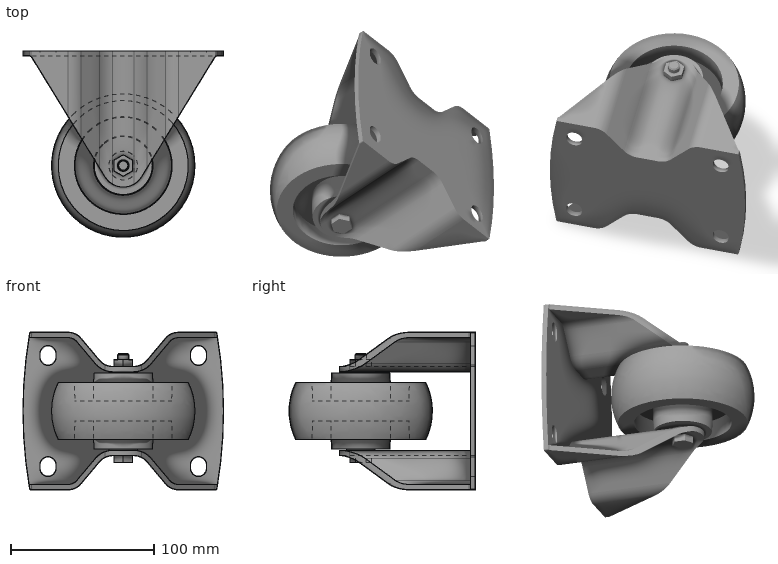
import cadquery as cq
import math


plate_width = 140.0
plate_height = 110.0
plate_thickness = 3.5
plate_back = 80.0
plate_end_width = 130.4
plate_corner_radius = 1.0
slot_width = 11.0
slot_pitch_x = 105.0
slot_pitch_z_min = 75.0
slot_pitch_z_max = 80.0

leg_thickness = 3.75
leg_inner = 27.4
bend_angle = math.radians(50)
bend_radius = 12.0
waist_flat_half = 7.4
nose_radius = 15.0
leg_slant = math.radians(31.5)
leg_root_fillet = 2.0

wheel_diameter = 100.0
wheel_width = 40.0
tread_radius = 45.0
recess_rim_diameter = 68.2
recess_floor_diameter = 67.5
recess_depth = 13.0
hub_diameter = 41.5
hub_end_diameter = 40.5
hub_end = 26.6
spacer_diameter = 20.0

bolt_diameter = 8.0
bolt_end = 40.0
bolt_chamfer = 0.8
hex_across_flats = 13.0
hex_height = 4.8

plate_front = plate_back - plate_thickness
plate_top = plate_height / 2
leg_outer = leg_inner + leg_thickness


def waist_stations(inset):
    """Bent leg surface in the XZ half plane x > 0, from the flat top to the waist.

    inset is how far the surface lies below the outer face of the leg.
    """
    convex = bend_radius - inset
    concave = bend_radius + inset
    straight_drop = plate_top - leg_outer - 2 * bend_radius * (1 - math.cos(bend_angle))
    bend_run = 2 * bend_radius * math.sin(bend_angle)
    shoulder_x = waist_flat_half + bend_run + straight_drop / math.tan(bend_angle)
    shoulder_z = plate_top - bend_radius
    knee_z = leg_outer + bend_radius

    def shoulder(angle):
        return (shoulder_x - convex * math.sin(angle), shoulder_z + convex * math.cos(angle))

    def knee(angle):
        return (waist_flat_half + concave * math.sin(angle), knee_z - concave * math.cos(angle))

    half = bend_angle / 2
    return [shoulder(0), shoulder(half), shoulder(bend_angle), knee(bend_angle), knee(half), knee(0)]


def draw_waist(path, inset, side):
    """Continue a path across one leg; side +1 goes +X to -X on top, -1 goes back along the bottom."""
    right = waist_stations(inset)
    left = [(-x, z) for x, z in reversed(right)]
    for stations in (right, left):
        p = [(side * x, side * z) for x, z in stations]
        path = path.lineTo(*p[0]).threePointArc(p[1], p[2])
        path = path.lineTo(*p[3]).threePointArc(p[4], p[5])
    return path


def extrude_y(path, y_start, y_end):
    """Extrude a closed XZ outline between two Y positions."""
    return path.extrude(y_start - y_end).translate((0, y_start, 0))


def silhouette():
    """Waisted outline with bowed ends, extruded over the full depth of the bracket."""
    corner_x = plate_end_width / 2
    path = cq.Workplane("XZ").moveTo(corner_x, plate_top)
    path = draw_waist(path, 0, 1).lineTo(-corner_x, plate_top)
    path = path.threePointArc((-plate_width / 2, 0), (-corner_x, -plate_top))
    path = draw_waist(path, 0, -1).lineTo(corner_x, -plate_top)
    path = path.threePointArc((plate_width / 2, 0), (corner_x, plate_top)).close()
    block = extrude_y(path, -nose_radius, plate_back)
    middle_y = (plate_back - nose_radius) / 2
    for x in (-corner_x, corner_x):
        for z in (-plate_top, plate_top):
            corner_edge = cq.selectors.NearestToPointSelector((x, middle_y, z))
            block = block.edges(corner_edge).fillet(plate_corner_radius)
    return block


def fork_gap():
    """Space between the two legs, in front of the plate."""
    wall_z = plate_top - leg_thickness
    path = cq.Workplane("XZ").moveTo(plate_width, wall_z)
    path = draw_waist(path, leg_thickness, 1).lineTo(-plate_width, wall_z).lineTo(-plate_width, -wall_z)
    path = draw_waist(path, leg_thickness, -1).lineTo(plate_width, -wall_z).close()
    return extrude_y(path, -plate_width, plate_front)


def plan_outline():
    """Plate with legs tapering to a round nose about the axle, seen along Z."""
    nose_x = nose_radius * math.cos(leg_slant)
    nose_y = -nose_radius * math.sin(leg_slant)
    root_x = nose_x + (plate_front - nose_y) * math.tan(leg_slant)
    half_turn = math.pi / 4 - leg_slant / 2
    tangent = leg_root_fillet * math.tan(half_turn)
    slant_x = root_x - tangent * math.sin(leg_slant)
    slant_y = plate_front - tangent * math.cos(leg_slant)
    half_width = plate_width / 2
    arc_x = root_x + tangent - leg_root_fillet * math.sin(half_turn)
    arc_y = plate_front - leg_root_fillet * (1 - math.cos(half_turn))
    return (
        cq.Workplane("XY")
        .moveTo(half_width, plate_back)
        .lineTo(half_width, plate_front)
        .lineTo(root_x + tangent, plate_front)
        .threePointArc((arc_x, arc_y), (slant_x, slant_y))
        .lineTo(nose_x, nose_y)
        .threePointArc((0, -nose_radius), (-nose_x, nose_y))
        .lineTo(-slant_x, slant_y)
        .threePointArc((-arc_x, arc_y), (-root_x - tangent, plate_front))
        .lineTo(-half_width, plate_front)
        .lineTo(-half_width, plate_back)
        .close()
        .extrude(plate_top, both=True)
    )


def mounting_slots():
    slot_length = slot_width + (slot_pitch_z_max - slot_pitch_z_min) / 2
    slot_pitch_z = (slot_pitch_z_min + slot_pitch_z_max) / 2
    slots = cq.Workplane("XZ").rarray(slot_pitch_x, slot_pitch_z, 2, 2).slot2D(slot_length, slot_width, 90)
    return extrude_y(slots, plate_front, plate_back)


def bracket():
    return silhouette().cut(fork_gap()).intersect(plan_outline()).cut(mounting_slots())


def wheel():
    """Barrel-shaped tyre with recessed sides, tapered hub ends and spacers, revolved about Z."""
    half_width = wheel_width / 2
    crown = wheel_diameter / 2
    edge = crown - tread_radius + math.sqrt(tread_radius**2 - half_width**2)
    rim = recess_rim_diameter / 2
    floor_edge = recess_floor_diameter / 2
    floor = half_width - recess_depth
    hub = hub_diameter / 2
    hub_tip = hub_end_diameter / 2
    spacer = spacer_diameter / 2
    side = [
        (edge, half_width),
        (rim, half_width),
        (floor_edge, floor),
        (hub, floor),
        (hub, half_width),
        (hub_tip, hub_end),
        (spacer, hub_end),
        (spacer, leg_inner),
        (0, leg_inner),
    ]
    path = cq.Workplane("XZ").moveTo(edge, -half_width).threePointArc((crown, 0), side[0])
    for point in side[1:]:
        path = path.lineTo(*point)
    for radius, z in reversed(side[1:]):
        path = path.lineTo(radius, -z)
    return path.close().revolve(360, (0, 0, 0), (0, 1, 0))


def axle_bolt():
    """Bolt head and nut outside the legs, with the threaded end standing out on top."""
    head_end = leg_outer + hex_height
    across_corners = hex_across_flats / math.cos(math.pi / 6)
    shank = cq.Workplane("XY").workplane(offset=-head_end).circle(bolt_diameter / 2)
    bolt = shank.extrude(head_end + bolt_end).faces(">Z").chamfer(bolt_chamfer)
    for base in (leg_outer, -head_end):
        hexagon = cq.Workplane("XY").polygon(6, across_corners).extrude(hex_height)
        bolt = bolt.union(hexagon.rotate((0, 0, 0), (0, 0, 1), 90).translate((0, 0, base)))
    return bolt


result = bracket().union(wheel()).union(axle_bolt())